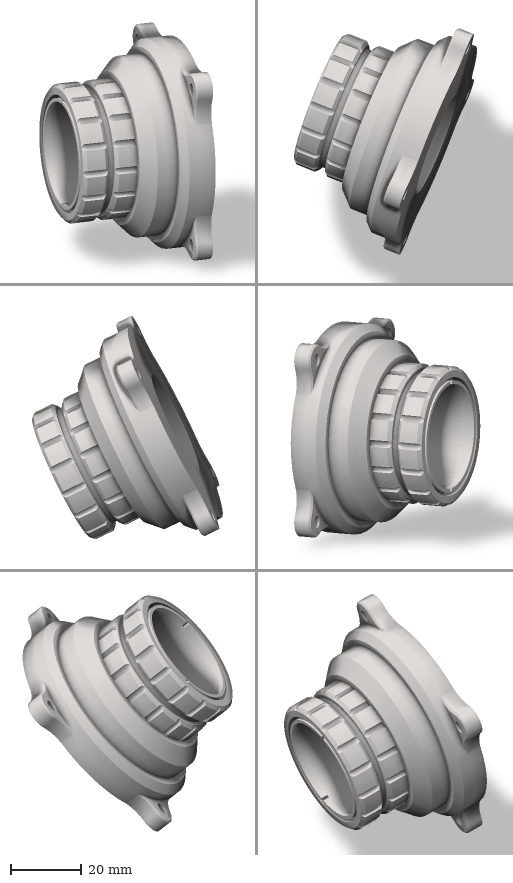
import cadquery as cq
import math


flange_radius = 30.1
flange_bevel_start = 7.9
flange_front = 10.0
flange_front_radius = flange_radius - (flange_front - flange_bevel_start)
shoulder_radius = 26.0
shoulder_bevel_start = 16.0
shoulder_front = 20.0
shoulder_front_radius = shoulder_radius - (shoulder_front - shoulder_bevel_start)
grip_radius = 20.0
grip_bevel = 1.0
neck_radius = 18.0
neck_start = 26.5
neck_end = 28.5
total_length = 36.0

flute_count = 16
flute_radius = 1.0

bore_radius = 15.0
sleeve_radius = 16.0
ring_groove_radius = 17.0
ring_groove_depth = 3.0
slot_width = 1.0
slot_depth = 2.0

ear_hole_offset = 70.0 / 3.0
ear_radius = 4.5
ear_hole_diameter = 3.5
ear_thickness = 5.0
ear_chamfer = 0.5
ear_blend_radius = 10.0
ear_root_radius = 30.0
ear_count = 4


def disc(radius, start, end):
    """Cylinder about the Y axis between two distances from the mounting face."""
    return cq.Workplane("XZ").workplane(offset=start).circle(radius).extrude(end - start)


def turned_body():
    """Solid of revolution with the flange, shoulder, grip bands and neck."""
    grip_bevel_radius = grip_radius - grip_bevel
    profile = [
        (0, 0),
        (flange_radius, 0),
        (flange_radius, -flange_bevel_start),
        (flange_front_radius, -flange_front),
        (shoulder_radius, -flange_front),
        (shoulder_radius, -shoulder_bevel_start),
        (shoulder_front_radius, -shoulder_front),
        (grip_radius, -shoulder_front),
        (grip_radius, -(neck_start - grip_bevel)),
        (grip_bevel_radius, -neck_start),
        (neck_radius, -neck_start),
        (neck_radius, -neck_end),
        (grip_bevel_radius, -neck_end),
        (grip_radius, -(neck_end + grip_bevel)),
        (grip_radius, -(total_length - grip_bevel)),
        (grip_bevel_radius, -total_length),
        (0, -total_length),
    ]
    return cq.Workplane("XY").polyline(profile).close().revolve(360, (0, 0, 0), (0, 1, 0))


def grip_flutes():
    """Round-bottomed flutes along both grip bands."""
    return (
        cq.Workplane("XZ")
        .workplane(offset=shoulder_front)
        .polarArray(grip_radius, 0, 360, flute_count)
        .circle(flute_radius)
        .extrude(total_length - shoulder_front)
    )


def ear():
    """Ear pointing along +X, with concave blends that run tangent into the root circle."""
    ear_distance = ear_hole_offset * math.sqrt(2)
    root_reach = ear_root_radius + ear_blend_radius
    tip_reach = ear_radius + ear_blend_radius

    blend_x = (ear_distance**2 + root_reach**2 - tip_reach**2) / (2 * ear_distance)
    blend_y = math.sqrt(root_reach**2 - blend_x**2)
    root_scale = ear_root_radius / root_reach
    root_x = blend_x * root_scale
    root_y = blend_y * root_scale
    tip_scale = ear_radius / tip_reach
    tip_x = ear_distance + (blend_x - ear_distance) * tip_scale
    tip_y = blend_y * tip_scale

    chord_x = (root_x + tip_x) / 2 - blend_x
    chord_y = (root_y + tip_y) / 2 - blend_y
    middle_scale = ear_blend_radius / math.hypot(chord_x, chord_y)
    middle_x = blend_x + chord_x * middle_scale
    middle_y = blend_y + chord_y * middle_scale

    return (
        cq.Workplane("XZ")
        .moveTo(0, 0)
        .lineTo(root_x, -root_y)
        .threePointArc((middle_x, -middle_y), (tip_x, -tip_y))
        .threePointArc((ear_distance + ear_radius, 0), (tip_x, tip_y))
        .threePointArc((middle_x, middle_y), (root_x, root_y))
        .close()
        .extrude(ear_thickness)
        .faces("<Y")
        .chamfer(ear_chamfer)
    )


def ear_holes():
    """Screw holes through the ears."""
    spacing = 2 * ear_hole_offset
    return (
        cq.Workplane("XZ")
        .rect(spacing, spacing, forConstruction=True)
        .vertices()
        .circle(ear_hole_diameter / 2)
        .extrude(ear_thickness)
    )


def sleeve_slots():
    """Square-ended slots through the sleeve wall at its top and bottom, cut from the nose end."""
    slot_reach = (sleeve_radius + ring_groove_radius) / 2
    slots = cq.Workplane("XY").box(slot_width, slot_depth, 2 * slot_reach)
    return slots.translate((0, slot_depth / 2 - total_length, 0))


result = turned_body().cut(grip_flutes())

for index in range(ear_count):
    angle = 360 / ear_count * (index + 0.5)
    result = result.union(ear().rotate((0, 0, 0), (0, 1, 0), angle))
result = result.cut(ear_holes())

ring_groove = disc(ring_groove_radius, total_length - ring_groove_depth, total_length)
sleeve = disc(sleeve_radius, total_length - ring_groove_depth, total_length)
result = result.cut(ring_groove).union(sleeve)
result = result.cut(disc(bore_radius, 0, total_length)).cut(sleeve_slots())